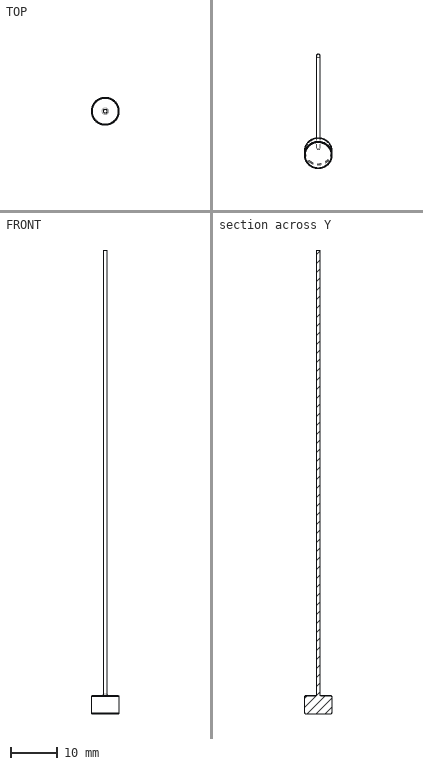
import cadquery as cq

total_length = 100.0
head_diameter = 6.0
head_height = 4.0
pin_diameter = 0.8

rim_chamfer = 0.2
root_fillet = 0.3

head_radius = head_diameter / 2
pin_radius = pin_diameter / 2


def make_head():
    """Round head standing on the XY plane, with both rims chamfered."""
    head = cq.Workplane("XY").circle(head_radius).extrude(head_height)
    return head.faces("<Z or >Z").edges().chamfer(rim_chamfer)


def make_pin():
    """Slender pin on the head's axis, reaching the full length of the part."""
    return cq.Workplane("XY").circle(pin_radius).extrude(total_length)


def blend_pin_root(body):
    """Fillet the inside corner where the pin rises from the head."""
    corner_zone = cq.selectors.BoxSelector(
        (-head_radius, -head_radius, head_height - pin_radius),
        (head_radius, head_radius, head_height + pin_radius),
    )
    smallest_circle = cq.selectors.RadiusNthSelector(0)
    root_edge = body.edges("%CIRCLE").edges(corner_zone).edges(smallest_circle)
    return root_edge.fillet(root_fillet)


result = blend_pin_root(make_head().union(make_pin()))